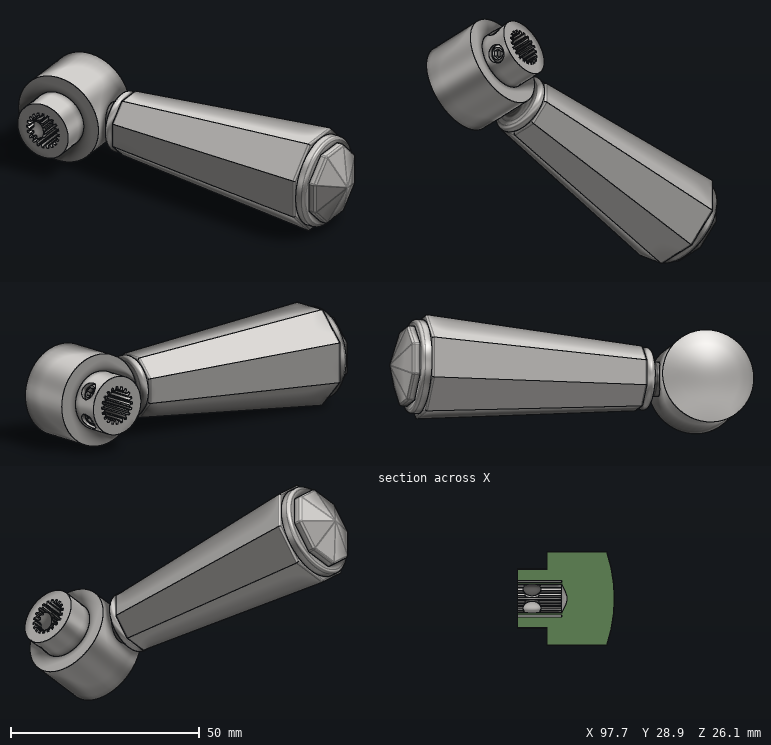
import cadquery as cq
import math


HUB_RADIUS = 12.5
HUB_BACK = 7.9
HUB_FRONT = -8.0
DOME_HEIGHT = 2.1
BOSS_RADIUS = 7.9
BOSS_END = -15.8

SPLINE_TEETH = 20
SPLINE_ROOT_RADIUS = 5.1
SPLINE_TIP_RADIUS = 4.2
SPLINE_FLAT_SHARE = 0.6
SPLINE_DEPTH = 11.7
DRILL_POINT_DEPTH = 2.4

SCREW_RADIUS = 2.4
SCREW_CHAMFER = 0.8
SCREW_ANGLE = 33
SCREW_ANGLES = (SCREW_ANGLE, -SCREW_ANGLE)
SCREW_INNER_END = SPLINE_ROOT_RADIUS
SCREW_OUTER_END = 7.2
SCREW_Y = (HUB_FRONT + BOSS_END) / 2
SOCKET_ACROSS_FLATS = 2.15
SOCKET_DEPTH = 1.5
HOLE_OVERRUN = 1.0

NECK_RADIUS = 4.6
NECK_FILLET = 1.4
BEAD_RADIUS = 8.4
BEAD_START = 14.4
GRIP_START = 16.7
BEAD_ROUND = (GRIP_START - BEAD_START) / 2

GRIP_FILLET = 0.5
GRIP_SMALL_APOTHEM = 8.1
GRIP_LARGE_APOTHEM = 13.1
GRIP_END = 76.8

FERRULE_RADIUS = 12.5
FERRULE_END = 79.5
FERRULE_FILLET = 0.9

FINIAL_APOTHEM = 10.1
FINIAL_SHOULDER = 81.4
FINIAL_FILLET = 0.7
OVERALL_LENGTH = 97.7
TIP_BLUNTING = 0.05
FINIAL_TIP = OVERALL_LENGTH - HUB_RADIUS + TIP_BLUNTING

OCTAGON_SIDES = 8


def octagon(x, apothem):
    """Octagonal wire square to X, with flats facing Y and Z."""
    corner_radius = apothem / math.cos(math.pi / OCTAGON_SIDES)
    angles = [math.pi * (2 * i + 1) / OCTAGON_SIDES for i in range(OCTAGON_SIDES)]
    corners = [cq.Vector(x, corner_radius * math.cos(a), corner_radius * math.sin(a)) for a in angles]
    return cq.Wire.makePolygon(corners, close=True)


def octagon_frustum(start, end, start_apothem, end_apothem):
    """Octagonal bar along X, straight or tapered."""
    wires = [octagon(start, start_apothem), octagon(end, end_apothem)]
    return cq.Workplane(obj=cq.Solid.makeLoft(wires, True))


def octagon_pyramid(base, apothem, tip):
    """Octagonal pyramid along X, from its base to its tip."""
    rim = octagon(base, apothem)
    apex = cq.Vector(tip, 0, 0)
    faces = [cq.Face.makeFromWires(rim)]
    for edge in rim.Edges():
        side = cq.Wire.makePolygon([edge.startPoint(), edge.endPoint(), apex], close=True)
        faces.append(cq.Face.makeFromWires(side))
    return cq.Workplane(obj=cq.Solid.makeSolid(cq.Shell.makeShell(faces)))


def spline_bore():
    """Toothed bore with a conical bottom, to be cut from the boss."""
    half_step = math.pi / SPLINE_TEETH
    outline = []
    for i in range(2 * SPLINE_TEETH):
        radius = SPLINE_ROOT_RADIUS if i % 2 == 0 else SPLINE_TIP_RADIUS
        for side in (-0.5, 0.5):
            angle = (i + side * SPLINE_FLAT_SHARE) * half_step
            outline.append((radius * math.cos(angle), radius * math.sin(angle)))
    front = cq.Workplane("XZ", origin=(0, BOSS_END, 0))
    teeth = front.polyline(outline).close().extrude(-SPLINE_DEPTH)
    bottom = BOSS_END + SPLINE_DEPTH
    drill_point = (
        cq.Workplane("XY")
        .moveTo(0, bottom)
        .lineTo(SPLINE_TIP_RADIUS, bottom)
        .lineTo(0, bottom + DRILL_POINT_DEPTH)
        .close()
        .revolve(360, (0, 0), (0, 1))
    )
    return teeth.union(drill_point)


def screw_plane(angle, radius):
    """Plane at a radius in the boss, facing outward at an angle from -X about the hub axis."""
    outward = (-math.cos(math.radians(angle)), 0, math.sin(math.radians(angle)))
    origin = (radius * outward[0], SCREW_Y, radius * outward[2])
    return cq.Plane(origin=origin, xDir=(0, 1, 0), normal=outward)


def make_screw(angle):
    """Set screw with a chamfered outer end and a hexagon socket."""
    length = SCREW_OUTER_END - SCREW_INNER_END
    body = cq.Workplane(screw_plane(angle, SCREW_INNER_END)).circle(SCREW_RADIUS).extrude(length)
    outer_face = cq.selectors.DirectionMinMaxSelector(screw_plane(angle, 0).zDir)
    body = body.faces(outer_face).chamfer(SCREW_CHAMFER)
    socket_diameter = SOCKET_ACROSS_FLATS / math.cos(math.pi / 6)
    outer_end = cq.Workplane(screw_plane(angle, SCREW_OUTER_END))
    socket = outer_end.polygon(6, socket_diameter).extrude(-SOCKET_DEPTH)
    return body.cut(socket)


def screw_hole(angle):
    return cq.Workplane(screw_plane(angle, 0)).circle(SCREW_RADIUS).extrude(BOSS_RADIUS + HOLE_OVERRUN)


def hub_drum():
    """Drum, dome and boss without their holes."""
    dome_radius = (HUB_RADIUS**2 + DOME_HEIGHT**2) / (2 * DOME_HEIGHT)
    return (
        cq.Workplane("XY")
        .moveTo(0, BOSS_END)
        .lineTo(-BOSS_RADIUS, BOSS_END)
        .lineTo(-BOSS_RADIUS, HUB_FRONT)
        .lineTo(-HUB_RADIUS, HUB_FRONT)
        .lineTo(-HUB_RADIUS, HUB_BACK)
        .radiusArc((0, HUB_BACK + DOME_HEIGHT), dome_radius)
        .close()
        .revolve(360, (0, 0), (0, 1))
    )


def make_hub():
    hub = hub_drum().cut(spline_bore())
    for angle in SCREW_ANGLES:
        hub = hub.cut(screw_hole(angle))
    return hub


def make_neck():
    """Turned neck with a bead, coped to the side of the hub."""
    bead_middle = BEAD_START + BEAD_ROUND
    bead_edge = BEAD_RADIUS - BEAD_ROUND
    turned = (
        cq.Workplane("XY")
        .moveTo(HUB_RADIUS / 2, 0)
        .lineTo(HUB_RADIUS / 2, NECK_RADIUS)
        .lineTo(BEAD_START - NECK_FILLET, NECK_RADIUS)
        .radiusArc((BEAD_START, NECK_RADIUS + NECK_FILLET), -NECK_FILLET)
        .lineTo(BEAD_START, bead_edge)
        .threePointArc((bead_middle, BEAD_RADIUS), (GRIP_START, bead_edge))
        .lineTo(GRIP_START, 0)
        .close()
        .revolve(360, (0, 0), (1, 0))
    )
    return turned.cut(hub_drum())


def make_grip():
    grip = octagon_frustum(GRIP_START, GRIP_END, GRIP_SMALL_APOTHEM, GRIP_LARGE_APOTHEM)
    return grip.edges("<X or >X").fillet(GRIP_FILLET)


def make_ferrule():
    disc = cq.Workplane("YZ", origin=(GRIP_END, 0, 0)).circle(FERRULE_RADIUS).extrude(FERRULE_END - GRIP_END)
    return disc.faces(">X").edges().fillet(FERRULE_FILLET)


def make_finial():
    """Octagonal block with a pyramid point, rounded on all edges except those of its base."""
    base = octagon_frustum(FERRULE_END, FINIAL_SHOULDER, FINIAL_APOTHEM, FINIAL_APOTHEM)
    finial = base.union(octagon_pyramid(FINIAL_SHOULDER, FINIAL_APOTHEM, FINIAL_TIP))
    return finial.edges("not <X").fillet(FINIAL_FILLET)


hub = make_hub()
screws = [make_screw(angle) for angle in SCREW_ANGLES]
neck = make_neck()
grip = make_grip()
ferrule = make_ferrule()
finial = make_finial()

result = cq.Compound.makeCompound(
    [hub.val(), *[screw.val() for screw in screws], neck.val(), grip.val(), ferrule.val(), finial.val()]
)